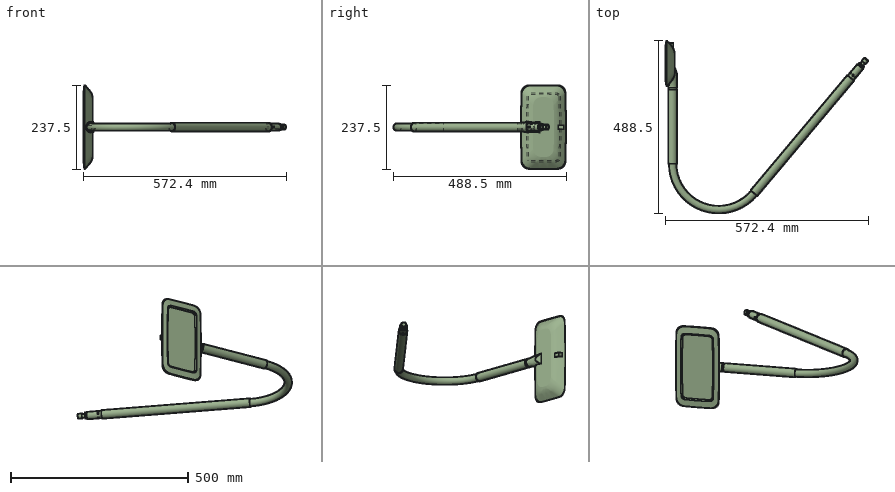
import cadquery as cq
import math

rod_radius = 11.0
bend_radius = 130.0
bend_sweep = 140.0
arm_angle = bend_sweep - 90.0
leg_x = 20.5

sleeve_radius = 12.5
long_sleeve_length = 425.0

head_bottom = 219.0
head_width = 128.5
head_height = 237.5
side_bow = 2.5
end_bow = 1.0
corner_radius = 23.0
head_center_y = head_bottom + head_width / 2

rim_front_x = 2.5
rim_back_x = 6.0
rim_round = 1.45
back_x = 27.0
back_contours = [(rim_back_x, rim_round), (19.5, 17.0), (24.5, 26.5), (back_x, 34.5)]

window_inset = 15.5
window_end_margin = 6.0
window_wall_run = 4.0
window_depth = 3.5
window_corner_radius = 12.5

slope_start = 253.0
slope_end = 272.0
groove_bottom = 208.5
groove_width = 5.0
groove_depth = 0.85
flare_start = 221.0
flare_radius = 22.0

lug_start_x = 8.0
lug_end_x = 23.0
lug_bottom = 321.0
lug_top = 341.0
lug_width = 11.5

body_length = 43.0
body_chamfer = 1.0
flange_radius = 9.0
flange_length = 5.0
neck_radius = 6.0
neck_length = 8.5
knob_radius = 7.5
knob_length = 12.5
knob_chamfer = 1.45
pin_hole_offset = 10.0
pin_hole_radius = 2.5
pin_hole_depth = 2.5

sweep = math.radians(bend_sweep)
bend_center_x = leg_x + bend_radius


def bend_point(angle):
    """Point on the rod axis after turning through the angle."""
    return bend_center_x - bend_radius * math.cos(angle), -bend_radius * math.sin(angle)


def cylinder_y(radius, start, end):
    """Cylinder on the leg axis between two Y positions."""
    plane = cq.Plane(origin=(leg_x, start, 0), xDir=(1, 0, 0), normal=(0, 1, 0))
    return cq.Workplane(plane).circle(radius).extrude(end - start)


def arm_plane(distance):
    """Plane across the arm; its local X axis points along +Z."""
    start_x, start_y = bend_point(sweep)
    direction = math.radians(arm_angle)
    along_x = math.cos(direction)
    along_y = math.sin(direction)
    origin = (start_x + distance * along_x, start_y + distance * along_y, 0)
    return cq.Plane(origin=origin, xDir=(0, 0, 1), normal=(along_x, along_y, 0))


def cylinder_on_arm(radius, start, length):
    return cq.Workplane(arm_plane(start)).circle(radius).extrude(length)


def head_outline(inset, radius, end_margin=0):
    """Rounded rectangle with bowed sides, inset from the outer edge of the head."""
    half_y = head_width / 2 - inset
    half_z = head_height / 2 - inset - end_margin
    corner_y = half_y - side_bow * half_z / (head_height / 2)
    corner_z = half_z - end_bow * half_y / (head_width / 2)
    return (
        cq.Sketch()
        .arc((-corner_y, -corner_z), (0, -half_z), (corner_y, -corner_z))
        .arc((corner_y, -corner_z), (half_y, 0), (corner_y, corner_z))
        .arc((corner_y, corner_z), (0, half_z), (-corner_y, corner_z))
        .arc((-corner_y, corner_z), (-half_y, 0), (-corner_y, -corner_z))
        .assemble()
        .vertices()
        .fillet(radius)
    )


def head_loft(contours, ruled=True):
    """Solid through a list of (X, outline) contours of the head."""
    plane = cq.Plane(origin=(0, head_center_y, 0), xDir=(0, 1, 0), normal=(1, 0, 0))
    outlines = [outline.moved(cq.Location(cq.Vector(0, 0, x))) for x, outline in contours]
    return cq.Workplane(plane).placeSketch(*outlines).loft(ruled=ruled)


def make_head():
    rim_middle_x = (rim_front_x + rim_back_x) / 2
    window_edge = head_outline(window_inset, window_corner_radius, window_end_margin)
    window_floor = head_outline(
        window_inset + window_wall_run, window_corner_radius - window_wall_run, window_end_margin
    )
    rim_edge = head_outline(rim_round, corner_radius)
    rim = head_loft([
        (0, window_edge),
        (rim_front_x, rim_edge),
        (rim_middle_x, head_outline(0, corner_radius)),
        (rim_back_x, rim_edge),
    ])
    back = head_loft(
        [(x, head_outline(inset, corner_radius)) for x, inset in back_contours], ruled=False
    )
    window = head_loft([(0, window_edge), (window_depth, window_floor)])
    return rim.union(back).cut(window)


def make_lug():
    return (
        cq.Workplane("XY", origin=(0, 0, -lug_width / 2))
        .moveTo(lug_start_x, lug_bottom)
        .lineTo(lug_end_x, lug_bottom)
        .lineTo(lug_end_x, lug_top)
        .lineTo(lug_start_x, lug_top)
        .close()
        .extrude(lug_width)
    )


def make_rod():
    end = bend_point(sweep)
    path = cq.Workplane("XY").moveTo(leg_x, 0).threePointArc(bend_point(sweep / 2), end)
    section = cq.Plane(origin=(leg_x, 0, 0), xDir=(1, 0, 0), normal=(0, -1, 0))
    return cq.Workplane(section).circle(rod_radius).sweep(path)


def make_flare():
    """Widening of the socket toward the head; its outer side stays in line with the leg."""
    length = slope_end - flare_start
    plane = cq.Plane(origin=(leg_x, flare_start, 0), xDir=(1, 0, 0), normal=(0, 1, 0))
    flare = (
        cq.Workplane(plane)
        .circle(sleeve_radius)
        .workplane(offset=length)
        .center(sleeve_radius - flare_radius, 0)
        .circle(flare_radius)
        .loft(ruled=True)
    )
    behind_rim = cq.Workplane("XY", origin=(rim_back_x, flare_start, 0)).box(
        2 * flare_radius, length, 2 * flare_radius, centered=(False, False, True)
    )
    return flare.intersect(behind_rim)


def make_leg():
    """Sleeve on the leg, running into a socket that slopes away into the back of the head."""
    leg = cylinder_y(sleeve_radius, 0, slope_end).union(make_flare())
    outer_x = leg_x + sleeve_radius
    slope_cut = (
        cq.Workplane("XY")
        .moveTo(outer_x, slope_start)
        .lineTo(back_x, slope_end)
        .lineTo(outer_x, slope_end)
        .close()
        .extrude(flare_radius, both=True)
    )
    groove = cylinder_y(sleeve_radius, groove_bottom, groove_bottom + groove_width).cut(
        cylinder_y(sleeve_radius - groove_depth, groove_bottom, groove_bottom + groove_width)
    )
    return leg.cut(slope_cut).cut(groove)


def make_arm():
    """Long sleeve with the body, flange, neck and knob of the end fitting."""
    body_start = long_sleeve_length
    flange_start = body_start + body_length
    neck_start = flange_start + flange_length
    knob_start = neck_start + neck_length
    outer_end = cq.selectors.DirectionMinMaxSelector(arm_plane(0).zDir)
    body = cylinder_on_arm(rod_radius, body_start, body_length)
    body = body.faces(outer_end).chamfer(body_chamfer)
    knob = cylinder_on_arm(knob_radius, knob_start, knob_length)
    knob = knob.faces(outer_end).chamfer(knob_chamfer)
    arm = (
        cylinder_on_arm(sleeve_radius, 0, long_sleeve_length)
        .union(body)
        .union(cylinder_on_arm(flange_radius, flange_start, flange_length))
        .union(cylinder_on_arm(neck_radius, neck_start, neck_length))
        .union(knob)
    )
    hole_plane = arm_plane(body_start + pin_hole_offset)
    for quarter in range(4):
        turned = hole_plane.rotated((0, 0, 90 * quarter))
        hole = cq.Solid.makeCylinder(
            pin_hole_radius, pin_hole_depth * 2,
            turned.origin + turned.xDir * (rod_radius - pin_hole_depth), turned.xDir,
        )
        arm = arm.cut(cq.Workplane(hole))
    return arm


result = make_head().union(make_lug()).union(make_leg()).union(make_rod()).union(make_arm())